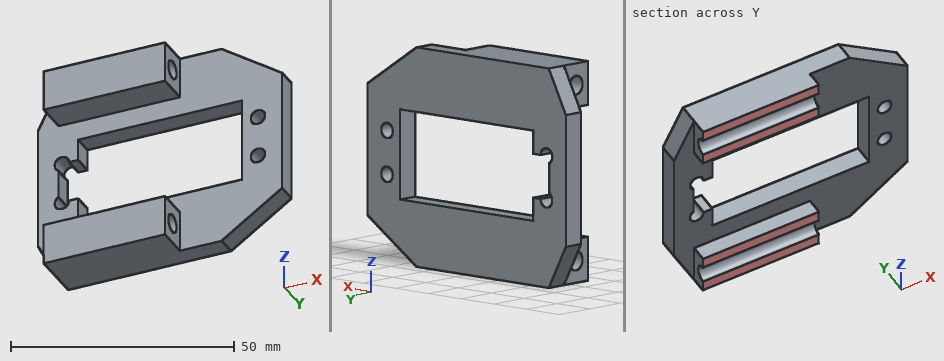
import cadquery as cq

length = 60.5
height = 50.0
plate_thickness = 5.0
corner_height = 10.0
left_corner_length = 5.2
right_corner_length = 15.0

total_depth = 13.0
block_length = 30.0
block_height = corner_height
block_depth = total_depth - plate_thickness
bore_diameter = 4.3

window_left = 10.0
window_right = 50.5
window_height = 20.5
notch_left = 5.1
notch_height = 10.0

screw_diameter = 3.5
screw_spacing = notch_height
left_screw_x = 5.9
right_screw_x = 54.5


def box(x_min, x_max, y_front, y_back, z_center, z_size):
    """Box given by its X and Y limits, centred on z_center."""
    return (
        cq.Workplane("XY")
        .box(x_max - x_min, y_back - y_front, z_size, centered=(False, False, True))
        .translate((x_min, y_front, z_center))
    )


def make_plate():
    """Plate with all four corners cut off."""
    top = height / 2
    shoulder = top - corner_height
    outline = [
        (0, -shoulder),
        (left_corner_length, -top),
        (length - right_corner_length, -top),
        (length, -shoulder),
        (length, shoulder),
        (length - right_corner_length, top),
        (left_corner_length, top),
        (0, shoulder),
    ]
    return cq.Workplane("XZ").polyline(outline).close().extrude(plate_thickness)


def make_block(z_center):
    """Block in front of the plate, bored through along X."""
    block_right = left_corner_length + block_length
    block = box(left_corner_length, block_right, -total_depth, -plate_thickness, z_center, block_height)
    bore_y = -plate_thickness - block_depth / 2
    bore = (
        cq.Workplane("YZ", origin=(left_corner_length, bore_y, z_center))
        .circle(bore_diameter / 2)
        .extrude(block_length)
    )
    return block.cut(bore)


window = box(window_left, window_right, -plate_thickness, 0, 0, window_height)
notch = box(notch_left, window_left, -plate_thickness, 0, 0, notch_height)

screw_points = [
    (x, side * screw_spacing / 2)
    for x in (left_screw_x, right_screw_x)
    for side in (-1, 1)
]
screw_holes = (
    cq.Workplane("XZ")
    .pushPoints(screw_points)
    .circle(screw_diameter / 2)
    .extrude(plate_thickness)
)

result = make_plate().cut(window).cut(notch).cut(screw_holes)
for side in (-1, 1):
    result = result.union(make_block(side * (height - block_height) / 2))